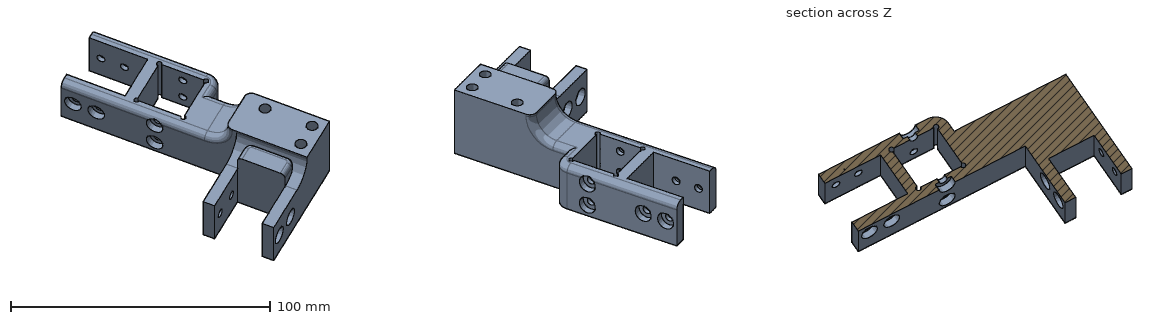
import cadquery as cq
import math

length = 105.2
arm_width = 30.1
fork_reach = 29.9
base_height = 20.0
block_height = 30.0
wall = 4.9

block_width = 20.0
block_left = 70.3
sweep_radius = 9.0
sweep_top = base_height + sweep_radius
sweep_mid = sweep_radius * math.cos(math.radians(45))

arm_end = 55.0
arm_corner_radius = 6.0
edge_radius = 2.9
slot_length = 25.0
window_start = 30.0
window_length = 20.0
relief_diameter = 2.0

fork_left = 75.0
tongue_face = 9.5
tongue_gap = 0.5
tongue_height = 27.0
tongue_corner_radius = 3.0
tongue_top_radius = 2.0

bolt_diameter = 3.4
counterbore_diameter = 7.0
counterbore_depth = 2.9
insert_diameter = 4.5
insert_depth = 10.0
hole_inset = 5.0
hole_pitch = 10.0
window_hole_x = window_start + window_length / 2

margin = 0.05


def box(x, y, z):
    """Box spanning the given (low, high) pairs."""
    size = [high - low for low, high in (x, y, z)]
    return cq.Workplane("XY").box(*size, centered=False).translate((x[0], y[0], z[0]))


def make_beam():
    """Narrow beam that carries the raised block at its +X end."""
    foot = block_left - sweep_radius
    return (
        cq.Workplane("XZ")
        .moveTo(0, 0)
        .lineTo(length, 0)
        .lineTo(length, block_height)
        .lineTo(block_left, block_height)
        .lineTo(block_left, sweep_top)
        .threePointArc((foot + sweep_mid, sweep_top - sweep_mid), (foot, base_height))
        .lineTo(0, base_height)
        .close()
        .extrude(-block_width)
    )


def make_arm_body():
    """Beam and wide arm with their outer top edges rounded in one run."""
    arm = box((0, arm_end), (0, arm_width), (0, base_height))
    arm = arm.edges("|Z and >X and >Y").fillet(arm_corner_radius)
    body = make_beam().union(arm).clean()
    front_run = cq.selectors.BoxSelector(
        (0, -margin, base_height - margin),
        (block_left + margin, margin, block_height),
    )
    back_run = cq.selectors.BoxSelector(
        (0, block_width - margin, base_height - margin),
        (block_left + margin, arm_width + margin, block_height),
    )
    return body.edges(front_run + back_run).fillet(edge_radius)


def make_fork():
    """Two prongs joined to the block by a concave sweep, with a rounded tongue between them."""
    fork = (
        cq.Workplane("YZ", origin=(fork_left, 0, 0))
        .moveTo(block_width / 2, 0)
        .lineTo(block_width / 2, sweep_top)
        .lineTo(0, sweep_top)
        .threePointArc((sweep_mid - sweep_radius, sweep_top - sweep_mid), (-sweep_radius, base_height))
        .lineTo(-fork_reach, base_height)
        .lineTo(-fork_reach, 0)
        .close()
        .extrude(length - fork_left)
    )
    gap_x = (fork_left + wall, length - wall)
    fork = fork.cut(box(gap_x, (-fork_reach, -tongue_face), (0, base_height)))
    tongue = box(gap_x, (-tongue_face, -tongue_gap), (0, tongue_height))
    tongue = tongue.edges("|Z and >Y").fillet(tongue_corner_radius)
    tongue = tongue.faces(">Z").edges("not(<Y)").fillet(tongue_top_radius)
    return fork.union(tongue)


def cut_arm_openings(body):
    """Open slot at the arm end and a through window with relieved corners."""
    inside_y = (wall, arm_width - wall)
    window_x = (window_start, window_start + window_length)
    body = body.cut(box((0, slot_length), inside_y, (0, base_height)))
    body = body.cut(box(window_x, inside_y, (0, base_height)))
    corners = [(x, y) for x in window_x for y in inside_y]
    reliefs = cq.Workplane("XY").pushPoints(corners).circle(relief_diameter / 2).extrude(base_height)
    return body.cut(reliefs)


def bolt_cutter(span):
    """Bolt hole along +Z over the span, counterbored at both ends."""
    hole = cq.Workplane("XY").circle(bolt_diameter / 2).extrude(span)
    bore = cq.Workplane("XY").circle(counterbore_diameter / 2).extrude(counterbore_depth)
    return hole.union(bore).union(bore.translate((0, 0, span - counterbore_depth)))


def cut_bolt_holes(body):
    """Counterbored bolt holes across the arm walls and across the fork prongs."""
    middle = base_height / 2
    across_arm = bolt_cutter(arm_width).rotate((0, 0, 0), (1, 0, 0), -90)
    arm_places = [
        (hole_inset, middle),
        (hole_inset + hole_pitch, middle),
        (window_hole_x, middle - hole_pitch / 2),
        (window_hole_x, middle + hole_pitch / 2),
    ]
    for x, z in arm_places:
        body = body.cut(across_arm.translate((x, 0, z)))
    across_fork = bolt_cutter(length - fork_left).rotate((0, 0, 0), (0, 1, 0), 90)
    for y in (hole_inset - fork_reach, hole_inset + hole_pitch - fork_reach):
        body = body.cut(across_fork.translate((fork_left, y, middle)))
    return body


def cut_insert_holes(body):
    """Three blind holes in the top of the block."""
    right = length - hole_inset
    left = fork_left + hole_inset
    front = (block_width - hole_pitch) / 2
    back = front + hole_pitch
    places = [(left, back), (right, back), (right, front)]
    holes = (
        cq.Workplane("XY", origin=(0, 0, block_height))
        .pushPoints(places)
        .circle(insert_diameter / 2)
        .extrude(-insert_depth)
    )
    return body.cut(holes)


result = make_arm_body().union(make_fork())
result = cut_arm_openings(result)
result = cut_bolt_holes(result)
result = cut_insert_holes(result)